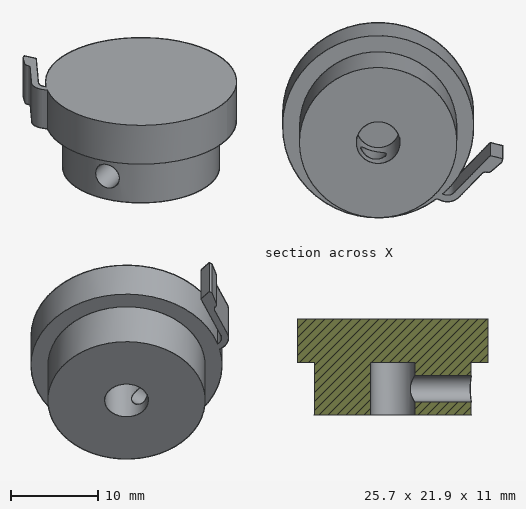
import cadquery as cq
import math

head_diameter = 21.87
head_height = 5.0
hub_diameter = 18.0
hub_height = 6.0
bore_diameter = 5.0
bore_depth = hub_height
screw_hole_diameter = 3.0
screw_hole_height = hub_height / 2

clip_reach = 14.78
tip_width = 1.5
arm_thickness = 0.8
arm_angle = math.radians(62)
tip_angle = math.radians(57)
bend_inner_radius = 1.0
bend_bottom_y = -6.7
step_y = -2.05
step_radius = 0.55
root_angle = math.radians(7)
root_length = 1.3


def point_on_circle(center, radius, angle):
    """Point at an angle measured counterclockwise from +X."""
    return (center[0] + radius * math.cos(angle), center[1] + radius * math.sin(angle))


def make_head_and_hub():
    hub = cq.Workplane("XY").circle(hub_diameter / 2).extrude(hub_height)
    return hub.faces(">Z").workplane().circle(head_diameter / 2).extrude(head_height)


def make_clip():
    """Tip, straight arm and bend, drawn as one outline and raised to the head's height."""
    down = -math.pi / 2
    up = math.pi / 2
    arm_side = -math.pi + (up - arm_angle)
    tip_side = -math.pi + (up - tip_angle)
    tip_left = -clip_reach
    tip_right = tip_left + tip_width

    def x_beside_arm(y, offset):
        """X at height y on a line parallel to the arm's inner side, offset outward."""
        return tip_right - y / math.tan(arm_angle) - offset / math.sin(arm_angle)

    bend_outer_radius = bend_inner_radius + arm_thickness
    bend_y = bend_bottom_y + bend_outer_radius
    bend_center = (x_beside_arm(bend_y, -bend_inner_radius), bend_y)
    bend_end = down + root_angle
    bend_middle = (arm_side + bend_end) / 2

    def root_end(radius):
        """End of the straight root line that continues the bend's arc of this radius."""
        start = point_on_circle(bend_center, radius, bend_end)
        return point_on_circle(start, root_length, root_angle)

    hollow_y = step_y - step_radius
    hollow_center = (x_beside_arm(hollow_y, arm_thickness + step_radius), hollow_y)
    step_point = (hollow_center[0], step_y)
    nose_center = (step_point[0], step_y + step_radius)
    nose_start = point_on_circle(nose_center, step_radius, tip_side)
    bevel_top_y = nose_start[1] + (nose_start[0] - tip_left) * math.tan(tip_angle)
    arm_end = arm_side + math.pi

    outline = (
        cq.Workplane("XY", origin=(0, 0, hub_height))
        .moveTo(tip_right, 0)
        .lineTo(tip_left, 0)
        .lineTo(tip_left, bevel_top_y)
        .lineTo(*nose_start)
        .threePointArc(point_on_circle(nose_center, step_radius, (tip_side + down) / 2), step_point)
        .threePointArc(
            point_on_circle(hollow_center, step_radius, (up + arm_end) / 2),
            point_on_circle(hollow_center, step_radius, arm_end),
        )
        .lineTo(*point_on_circle(bend_center, bend_outer_radius, arm_side))
        .threePointArc(
            point_on_circle(bend_center, bend_outer_radius, bend_middle),
            point_on_circle(bend_center, bend_outer_radius, bend_end),
        )
        .lineTo(*root_end(bend_outer_radius))
        .lineTo(*root_end(bend_inner_radius))
        .lineTo(*point_on_circle(bend_center, bend_inner_radius, bend_end))
        .threePointArc(
            point_on_circle(bend_center, bend_inner_radius, bend_middle),
            point_on_circle(bend_center, bend_inner_radius, arm_side),
        )
        .close()
    )
    return outline.extrude(head_height)


def make_bore():
    """Blind shaft bore, open at the underside of the hub."""
    return cq.Workplane("XY").circle(bore_diameter / 2).extrude(bore_depth)


def make_screw_hole():
    """Radial hole from the -Y side of the hub into the bore."""
    plane = cq.Workplane("XZ", origin=(0, 0, screw_hole_height))
    return plane.circle(screw_hole_diameter / 2).extrude(hub_diameter / 2)


result = make_head_and_hub().union(make_clip()).cut(make_bore()).cut(make_screw_hole())